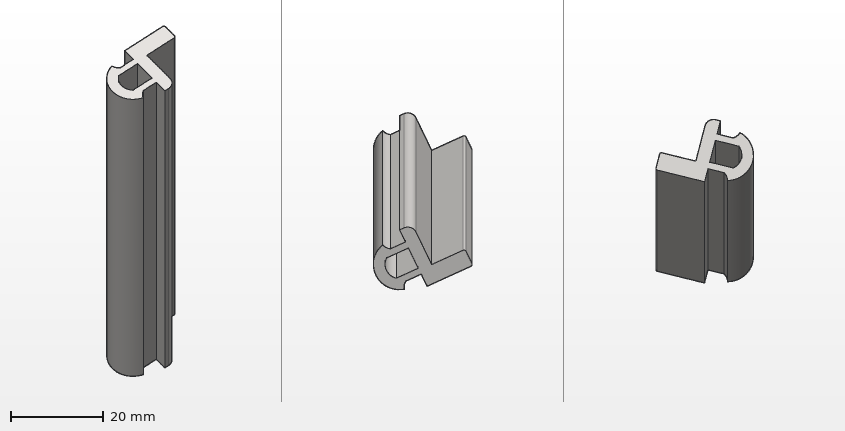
import cadquery as cq
import math

length = 100.0
width = 14.0
depth = 20.0

leg_thickness = 4.0
flange_front = 9.0
flange_thickness = 3.0
leg_tip_radius = 0.5
flange_tip_radius = 2.0

neck_width = 8.0
cavity_width = 5.0
lip_width = 11.0
lip_height = 4.25
flare_start = 5.4
flare_radius = 2.5
cavity_floor = 2.55
cavity_floor_radius = 3.2

center_x = width / 2
flange_back = flange_front + flange_thickness
neck_half = neck_width / 2
lip_half = lip_width / 2
cavity_half = cavity_width / 2
cavity_floor_rise = cavity_floor_radius - math.sqrt(cavity_floor_radius**2 - cavity_half**2)
cavity_wall_end = cavity_floor + cavity_floor_rise


def make_carrier():
    """L-shaped bar with rounded leg tip and rounded free flange corner."""
    bar = (
        cq.Workplane("XY")
        .moveTo(0, flange_front)
        .lineTo(width, flange_front)
        .lineTo(width, flange_back)
        .lineTo(leg_thickness, flange_back)
        .lineTo(leg_thickness, depth)
        .lineTo(0, depth)
        .close()
        .extrude(length)
    )
    bar = bar.edges("|Z").edges(">Y").fillet(leg_tip_radius)
    flange_tip = cq.selectors.NearestToPointSelector((width, flange_back, length / 2))
    return bar.edges("|Z").edges(flange_tip).fillet(flange_tip_radius)


def make_bulb():
    """Neck that flares through concave arcs into a round nose with a sharp lip on each side."""
    left_lip = (center_x - lip_half, lip_height)
    right_lip = (center_x + lip_half, lip_height)
    return (
        cq.Workplane("XY")
        .moveTo(center_x - neck_half, flange_front)
        .lineTo(center_x - neck_half, flare_start)
        .radiusArc(left_lip, flare_radius)
        .threePointArc((center_x, 0), right_lip)
        .radiusArc((center_x + neck_half, flare_start), flare_radius)
        .lineTo(center_x + neck_half, flange_front)
        .close()
        .extrude(length)
    )


def make_cavity():
    """Straight-sided channel with a curved floor, running the full length of the bulb."""
    return (
        cq.Workplane("XY")
        .moveTo(center_x - cavity_half, flange_front)
        .lineTo(center_x - cavity_half, cavity_wall_end)
        .threePointArc((center_x, cavity_floor), (center_x + cavity_half, cavity_wall_end))
        .lineTo(center_x + cavity_half, flange_front)
        .close()
        .extrude(length)
    )


result = make_carrier().union(make_bulb().cut(make_cavity()))